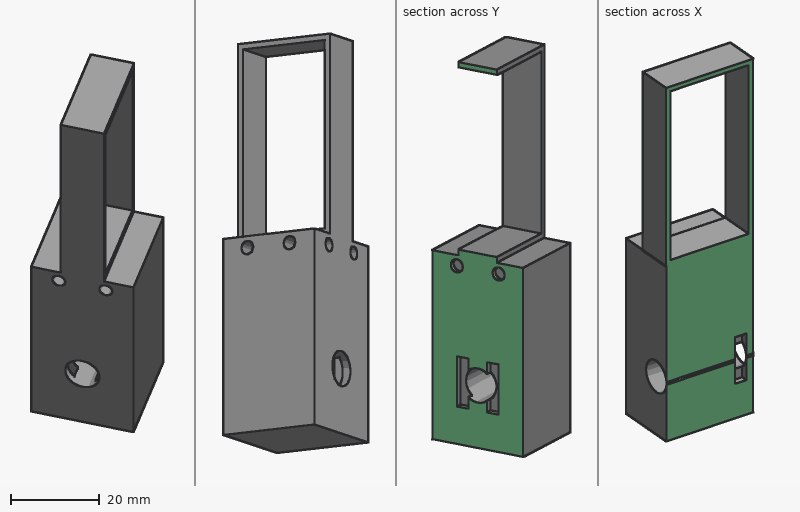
import cadquery as cq

total_height = 91.0
width = 24.0
frame_depth = 24.0

body_height = 45.0
body_back_inset = 0.2
body_depth = frame_depth - body_back_inset
front_y = -frame_depth / 2

frame_width = 10.2
frame_wall = 1.4

bore_diameter = 8.0
bore_height = 14.9

screw_diameter = 3.0
screw_spacing = 11.0
screw_drop = 2.6
screw_depth = 4.55

pocket_size = 3.0
pocket_height = 11.8
pocket_inner_x = 2.5
pocket_front_wall = 2.0


def make_body():
    return (
        cq.Workplane("XY")
        .box(width, body_depth, body_height, centered=(True, False, False))
        .translate((0, front_y, 0))
    )


def make_frame():
    frame_height = total_height - body_height
    outer = cq.Workplane("XY").box(frame_width, frame_depth, frame_height)
    window = cq.Workplane("XY").box(
        frame_width, frame_depth - 2 * frame_wall, frame_height - 2 * frame_wall
    )
    return outer.cut(window).translate((0, 0, body_height + frame_height / 2))


def make_bore():
    return (
        cq.Workplane("XZ")
        .center(0, bore_height)
        .circle(bore_diameter / 2)
        .extrude(frame_depth / 2, both=True)
    )


def make_screw_holes():
    height = body_height - screw_drop
    radius = screw_diameter / 2
    holes = cq.Workplane("XY")
    for offset in (-screw_spacing / 2, screw_spacing / 2):
        front_start = cq.Vector(offset, front_y, height)
        left_start = cq.Vector(-width / 2, offset, height)
        holes.add(cq.Solid.makeCylinder(radius, screw_depth, front_start, cq.Vector(0, 1, 0)))
        holes.add(cq.Solid.makeCylinder(radius, screw_depth, left_start, cq.Vector(1, 0, 0)))
    return holes.combine()


def make_pockets():
    center_x = pocket_inner_x + pocket_size / 2
    center_y = front_y + pocket_front_wall + pocket_size / 2
    return (
        cq.Workplane("XY", origin=(0, center_y, bore_height))
        .pushPoints([(-center_x, 0), (center_x, 0)])
        .box(pocket_size, pocket_size, pocket_height)
    )


result = make_body().union(make_frame())
result = result.cut(make_bore()).cut(make_screw_holes()).cut(make_pockets())